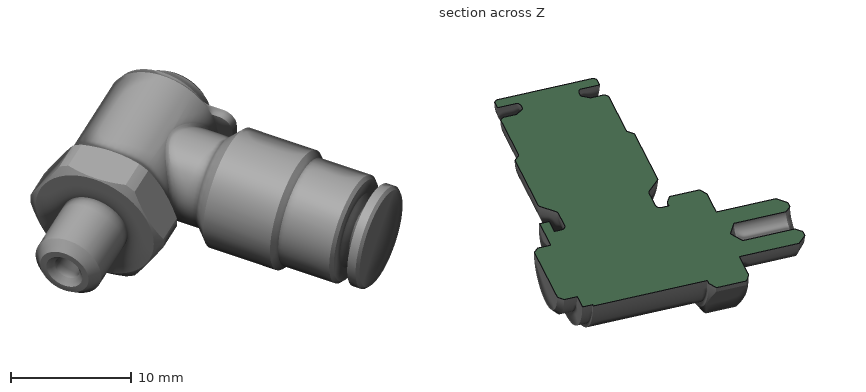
import cadquery as cq
import math


stem_diameter = 6.0
stem_length = 6.0
stem_chamfer = 0.8
bore_diameter = 2.25
bore_depth = 5.1
bore_tip_half_angle = 59.0
countersink_diameter = 3.3

across_flats = 11.0
corner_diameter = 12.2
hex_face_diameter = 10.8
hex_thickness = 3.5
hex_bevel_height = 0.43

body_diameter = 10.0
body_length = 10.0
clip_thickness = 0.88
cap_diameter = 6.91
cap_chamfer = 0.45
overall_height = 22.0
body_top = hex_thickness + body_length
cap_top = overall_height - stem_length

clip_radius = 4.4
clip_center = -0.43
lug_start = 2.98
lug_end = 6.32
lug_corner_radius = 1.28
lug_blend_radius = 1.25

overall_length = 28.35
branch_height = hex_thickness + body_length / 2
branch_end = overall_length - corner_diameter / 2
neck_radius = 8.0 / 2
neck_blend_radius = 0.37
neck_end = 7.0
barrel_radius = 10.5 / 2
barrel_end = 14.5
sleeve_radius = 9.5 / 2
sleeve_end = 19.98
sleeve_chamfer = 0.28
collar_root_radius = 6.5 / 2
groove_radius = 5.1 / 2
groove_start = 20.45
groove_end = 20.91
flange_root_radius = 5.45 / 2
flange_start = 21.23
flange_radius = 9.0 / 2
flange_chamfer = 0.25
body_fillet = 0.4


def cylinder_y(diameter, start, end):
    """Cylinder about the Y axis between two places along it."""
    disc = cq.Workplane("XZ", origin=(0, start, 0)).circle(diameter / 2)
    return disc.extrude(start - end)


def revolve_y(points):
    """Turn a closed (radius, y) outline about the Y axis."""
    return cq.Workplane("XY").polyline(points).close().revolve(360, (0, 0, 0), (0, 1, 0))


def make_branch():
    half_turn = math.radians(22.5)
    full_turn = math.radians(45)

    def blend_point(angle):
        return (
            neck_end + neck_blend_radius * math.sin(angle),
            neck_radius + neck_blend_radius * (1 - math.cos(angle)),
        )

    cone_start, cone_radius = blend_point(full_turn)
    cone_end = cone_start + barrel_radius - cone_radius
    sleeve_start = barrel_end + barrel_radius - sleeve_radius
    profile = (
        cq.Workplane("XY", origin=(0, branch_height, 0))
        .lineTo(0, neck_radius)
        .lineTo(neck_end, neck_radius)
        .threePointArc(blend_point(half_turn), blend_point(full_turn))
        .lineTo(cone_end, barrel_radius)
        .lineTo(barrel_end, barrel_radius)
        .lineTo(sleeve_start, sleeve_radius)
        .lineTo(sleeve_end - sleeve_chamfer, sleeve_radius)
        .lineTo(sleeve_end, sleeve_radius - sleeve_chamfer)
        .lineTo(sleeve_end, collar_root_radius)
        .lineTo(groove_start, groove_radius)
        .lineTo(groove_end, groove_radius)
        .lineTo(flange_start, flange_root_radius)
        .lineTo(flange_start, flange_radius)
        .lineTo(branch_end - flange_chamfer, flange_radius)
        .lineTo(branch_end, flange_radius - flange_chamfer)
        .lineTo(branch_end, 0)
        .close()
    )
    return profile.revolve(360, (0, 0, 0), (1, 0, 0))


def make_elbow():
    """Swivel body joined to the branch, with a fillet around the neck."""
    elbow = cylinder_y(body_diameter, hex_thickness, body_top).union(make_branch())
    reach = body_diameter / 2
    seam = cq.selectors.BoxSelector(
        (0.28, hex_thickness + 0.28, -reach), (reach + 0.28, body_top - 0.28, reach)
    )
    return elbow.edges(seam).fillet(body_fillet)


def make_hexagon():
    """Hexagon with rounded corners and a turned bevel on both faces."""
    hexagon = (
        cq.Workplane("XZ")
        .polygon(6, across_flats / math.cos(math.radians(30)))
        .extrude(-hex_thickness)
    )
    face_radius = hex_face_diameter / 2
    corner_radius = corner_diameter / 2
    envelope = revolve_y([
        (0, 0),
        (face_radius, 0),
        (corner_radius, hex_bevel_height),
        (corner_radius, hex_thickness - hex_bevel_height),
        (face_radius, hex_thickness),
        (0, hex_thickness),
    ])
    return hexagon.intersect(envelope)


def make_clip():
    """Eccentric clip disc with a lug that reaches over the neck."""
    normal_angle = math.acos((lug_start - clip_center) / clip_radius)
    blend_x = clip_center + (clip_radius + lug_blend_radius) * math.cos(normal_angle)
    blend_z = (clip_radius + lug_blend_radius) * math.sin(normal_angle)
    ring_z = clip_radius * math.sin(normal_angle)
    flank_z = blend_z - lug_blend_radius
    middle_angle = (normal_angle + math.pi + 1.5 * math.pi) / 2
    middle_x = blend_x + lug_blend_radius * math.cos(middle_angle)
    middle_z = blend_z + lug_blend_radius * math.sin(middle_angle)
    corner_x = lug_end - lug_corner_radius
    corner_z = flank_z - lug_corner_radius
    corner_middle = lug_corner_radius * math.sqrt(0.5)
    return (
        cq.Workplane("XZ", origin=(0, body_top, 0))
        .moveTo(lug_start, -ring_z)
        .threePointArc((clip_center - clip_radius, 0), (lug_start, ring_z))
        .threePointArc((middle_x, middle_z), (blend_x, flank_z))
        .lineTo(corner_x, flank_z)
        .threePointArc((corner_x + corner_middle, corner_z + corner_middle), (lug_end, corner_z))
        .lineTo(lug_end, -corner_z)
        .threePointArc((corner_x + corner_middle, -corner_z - corner_middle), (corner_x, -flank_z))
        .lineTo(blend_x, -flank_z)
        .threePointArc((middle_x, -middle_z), (lug_start, -ring_z))
        .close()
        .extrude(-clip_thickness)
    )


def make_bore():
    """Blind bore in the stem, with a 45 degree countersink and a drill tip."""
    bore_radius = bore_diameter / 2
    mouth_radius = countersink_diameter / 2
    tip_depth = bore_radius / math.tan(math.radians(bore_tip_half_angle))
    return revolve_y([
        (0, -stem_length),
        (mouth_radius, -stem_length),
        (bore_radius, -stem_length + mouth_radius - bore_radius),
        (bore_radius, -stem_length + bore_depth),
        (0, -stem_length + bore_depth + tip_depth),
    ])


stem = cylinder_y(stem_diameter, -stem_length, 0).faces("<Y").chamfer(stem_chamfer)
cap = cylinder_y(cap_diameter, body_top, cap_top).faces(">Y").chamfer(cap_chamfer)

result = make_elbow().union(make_hexagon()).union(stem).union(make_clip()).union(cap).cut(make_bore())